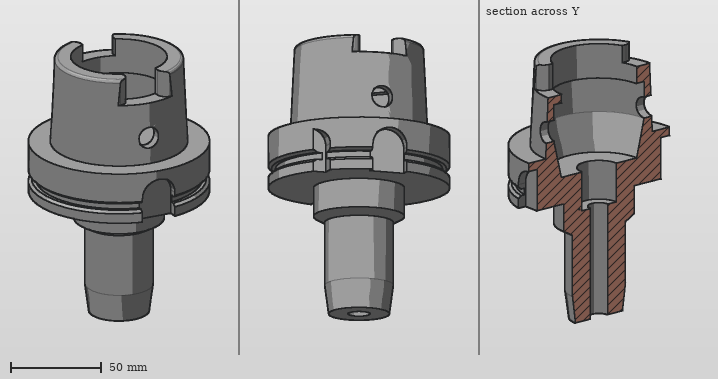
import cadquery as cq
import math

total_length = 150.0
flange_top = 100.0
flange_bottom = 71.0

nose_tip_radius = 16.8
nose_cone_height = 16.2
shank_diameter = 38.0
shank_radius = shank_diameter / 2
shank_top = 51.5
collar_radius = 25.0
collar_bottom = 54.9

flange_diameter = 100.0
flange_radius = flange_diameter / 2
groove_radius = 46.0
groove_bottom = 78.0
groove_top = 81.8
groove_bevel_height = 1.5
groove_bevel_width = 1.8

taper_base_radius = 38.0
taper_tip_radius = 35.5
rim_fillet = 1.8

mouth_radius = 26.5
mouth_depth = 20.0
chamber_radius = 31.8
chamber_bottom = 108.9
bore_floor = 87.0
counterbore_radius = 12.2
counterbore_depth = 22.5
through_diameter = 12.2
through_radius = through_diameter / 2

drive_slot_width = 20.0
drive_slot_corner = 5.2
ear_half_width = 32.2
left_slot_floor = 140.1
right_slot_floor = 135.2

cross_hole_radius = 6.0
cross_hole_height = 115.0

keyway_width = 20.0
keyway_top = 95.0
keyway_floor = 44.0
index_notch_width = 18.0
index_notch_center = 40.4
index_notch_floor = 31.8


def make_body():
    bevel_radius = flange_radius - groove_bevel_width
    outline = [
        (0, 0),
        (nose_tip_radius, 0),
        (shank_radius, nose_cone_height),
        (shank_radius, shank_top),
        (collar_radius, collar_bottom),
        (collar_radius, flange_bottom),
        (flange_radius, flange_bottom),
        (flange_radius, groove_bottom - groove_bevel_height),
        (bevel_radius, groove_bottom),
        (groove_radius, groove_bottom),
        (groove_radius, groove_top),
        (bevel_radius, groove_top),
        (flange_radius, groove_top + groove_bevel_height),
        (flange_radius, flange_top),
        (taper_base_radius, flange_top),
        (taper_tip_radius, total_length),
        (0, total_length),
    ]
    body = cq.Workplane("XZ").polyline(outline).close().revolve(360, (0, 0), (0, 1))
    return body.faces(">Z").edges().fillet(rim_fillet)


def make_bore():
    """Bore with a wide chamber behind the mouth, tapering inward to a flat floor."""
    mouth_bottom = total_length - mouth_depth
    counterbore_floor = bore_floor - counterbore_depth
    outline = [
        (0, 0),
        (through_radius, 0),
        (through_radius, counterbore_floor),
        (counterbore_radius, counterbore_floor),
        (counterbore_radius, bore_floor),
        (mouth_radius, bore_floor),
        (chamber_radius, chamber_bottom),
        (chamber_radius, mouth_bottom),
        (mouth_radius, mouth_bottom),
        (mouth_radius, total_length),
        (0, total_length),
    ]
    return cq.Workplane("XZ").polyline(outline).close().revolve(360, (0, 0), (0, 1))


def make_drive_slot(side, floor):
    """Rim slot that flares outward with rounded ear corners; side is -1 or +1 along X."""
    half = drive_slot_width / 2
    arc_start = side * (ear_half_width - drive_slot_corner)
    ear_x = side * ear_half_width
    outside = side * flange_radius
    corner = half + drive_slot_corner
    diagonal = drive_slot_corner * math.sin(math.radians(45))
    mid_x = arc_start + side * diagonal
    mid_y = corner - diagonal
    return (
        cq.Workplane("XY", origin=(0, 0, floor))
        .moveTo(0, -half)
        .lineTo(arc_start, -half)
        .threePointArc((mid_x, -mid_y), (ear_x, -corner))
        .lineTo(ear_x, -flange_radius)
        .lineTo(outside, -flange_radius)
        .lineTo(outside, flange_radius)
        .lineTo(ear_x, flange_radius)
        .lineTo(ear_x, corner)
        .threePointArc((mid_x, mid_y), (arc_start, half))
        .lineTo(0, half)
        .close()
        .extrude(total_length - floor)
    )


def make_keyway(side, center_y, width, floor):
    """Round-topped slot open at the flange bottom, with a flat floor normal to X."""
    radius = width / 2
    arc_center = keyway_top - radius
    return (
        cq.Workplane("YZ", origin=(side * floor, 0, 0))
        .moveTo(center_y - radius, flange_bottom)
        .lineTo(center_y - radius, arc_center)
        .threePointArc((center_y, keyway_top), (center_y + radius, arc_center))
        .lineTo(center_y + radius, flange_bottom)
        .close()
        .extrude(side * (flange_radius - floor))
    )


def make_cross_hole():
    return (
        cq.Workplane("YZ")
        .center(0, cross_hole_height)
        .circle(cross_hole_radius)
        .extrude(flange_radius, both=True)
    )


result = make_body().cut(make_bore()).cut(make_cross_hole())
for side, slot_floor in ((-1, left_slot_floor), (1, right_slot_floor)):
    result = result.cut(make_drive_slot(side, slot_floor))
    result = result.cut(make_keyway(side, 0, keyway_width, keyway_floor))
result = result.cut(make_keyway(-1, index_notch_center, index_notch_width, index_notch_floor))